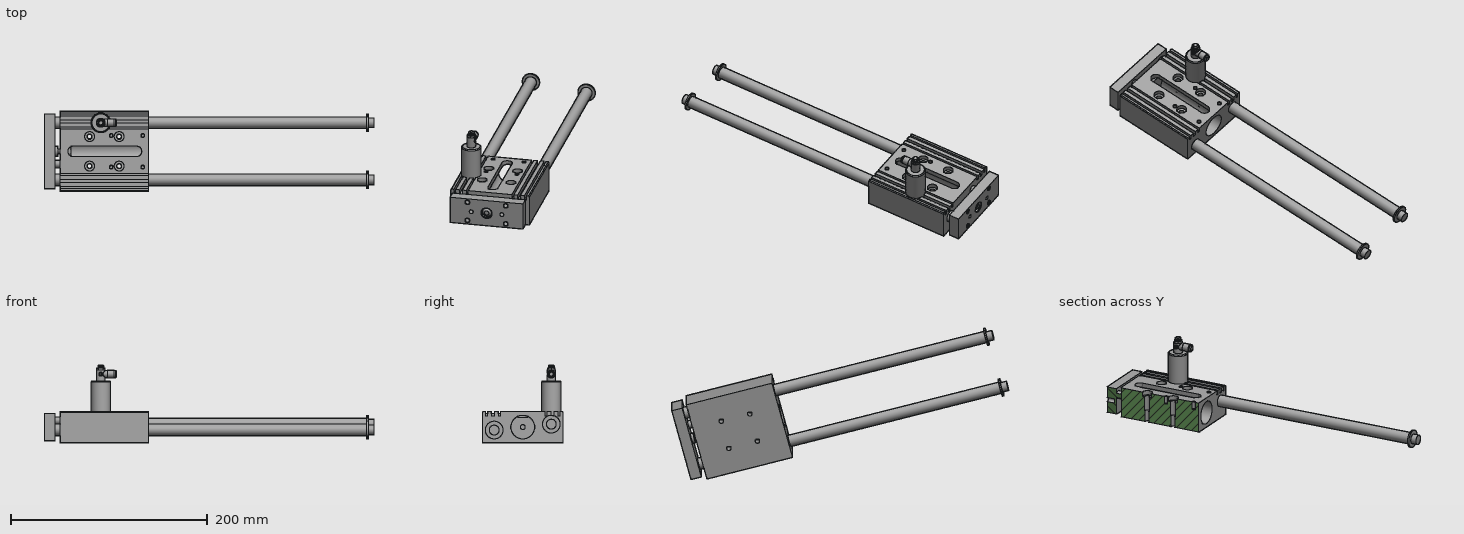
import cadquery as cq

overall_length = 335.0
overall_height = 79.26

plate_thickness = 11.0
plate_width = 76.0
plate_height = 28.0

gap = 5.0
housing_length = 90.0
housing_width = 82.0
housing_height = 32.0
edge_chamfer = 1.0
housing_start = plate_thickness + gap
housing_end = housing_start + housing_length
axis_z = housing_height / 2

groove_depth = 4.5
grooves = ((23.75, 2.0), (30.25, 3.0), (36.75, 2.0))

bore_diameter = 24.0
slot_width = 10.5
slot_depth = 6.0
slot_length = 75.0
slot_start = housing_start + 8.0
bore_start = housing_start + 11.0

tap_mouth_depth = 0.5

mount_pitch = 30.0
mount_first_x = housing_start + 30.0
mount_diameter = 5.2
mount_core_diameter = 4.5
mount_core_length = 12.0
mount_head_diameter = 10.0
mount_head_depth = 4.5
tap_pitch = 32.0
tap_mouth_diameter = 4.0
tap_core_diameter = 3.24
tap_depth = 8.0
tap_first_x = housing_start + 52.0

rod_diameter = 12.0
rod_y = 29.0
rod_rise = 3.0
rod_axes = ((-rod_y, axis_z - rod_rise), (rod_y, axis_z + rod_rise))
rod_tip_diameter = 10.0
rod_tip_length = 6.0
rod_flange_diameter = 18.0
rod_flange_thickness = 1.6

piston_rod_diameter = 5.0
piston_rod_end = bore_start
collar_diameter = 10.5
collar_end = plate_thickness + 2.7
bumper_diameter = 8.0
bumper_y = -13.0
bumper_z = 22.5

plate_screw_mouth_diameter = 5.0
plate_screw_core_diameter = 4.13
plate_screw_y = 20.0
plate_screw_rise = 10.0
plate_pin_y = 16.0
plate_pin_diameter = 4.02
plate_hole_depth = 8.0
nose_recess_diameter = 10.5
nose_recess_chamfer = 0.6
nose_recess_depth = 3.5
nose_base_diameter = 9.8
nose_tip_diameter = 4.5
nose_height = 3.0

barrel_x = housing_start + 41.4
barrel_y = rod_y
barrel_diameter = 20.0
barrel_top = 63.0
barrel_chamfer = 1.0
elbow_diameter = 9.0
elbow_top = 73.8
hex_corner_diameter = 8.8
hex_top = 75.8
knob_neck_diameter = 5.2
knob_diameter = 6.2
knob_start = 77.2
knob_chamfer = 1.0
outlet_z = 69.8
outlet_diameter = 8.0
outlet_reach = 16.0
outlet_neck_diameter = 7.7
outlet_neck_end = 6.9
outlet_tip_diameter = 7.7
outlet_tip_start = 13.6
outlet_tip_chamfer = 1.1
outlet_bore_diameter = 4.0
outlet_bore_depth = 6.0
screw_hole_diameter = 4.02
screw_hole_reach = 3.5
screw_core_diameter = 2.13
screw_core_reach = 2.0


def rod_along_x(diameter, start, end, y, z):
    """Round bar parallel to X between two X positions."""
    return cq.Workplane("YZ", origin=(start, y, z)).circle(diameter / 2).extrude(end - start)


def rod_along_z(diameter, start, end, x, y):
    """Round bar parallel to Z between two Z positions."""
    return cq.Workplane("XY", origin=(x, y, start)).circle(diameter / 2).extrude(end - start)


def make_block():
    """Extruded housing block with chamfered upper edges and top grooves."""
    block = (
        cq.Workplane("XY", origin=(housing_start, 0, 0))
        .box(housing_length, housing_width, housing_height, centered=(False, True, False))
        .edges("|X and >Z")
        .chamfer(edge_chamfer)
    )
    for distance, width in grooves:
        for side in (-1, 1):
            floor_center = (housing_start, side * distance, housing_height - groove_depth)
            groove = cq.Workplane("XY", origin=floor_center).box(
                housing_length, width, groove_depth, centered=(False, True, False)
            )
            block = block.cut(groove)
    return block


def cut_piston_bore(block):
    """Piston bore open at the back, the rod hole at the front and the slot in the top."""
    bore = rod_along_x(bore_diameter, bore_start, housing_end, 0, axis_z)
    rod_hole = rod_along_x(piston_rod_diameter, housing_start, bore_start, 0, axis_z)
    slot = (
        cq.Workplane("XY", origin=(slot_start + slot_length / 2, 0, housing_height))
        .slot2D(slot_length, slot_width)
        .extrude(-slot_depth)
    )
    return block.cut(bore).cut(rod_hole).cut(slot)


def cut_top_holes(block):
    """Counterbored mounting holes and blind tapped holes with a wider mouth."""
    top = cq.Workplane("XY", origin=(0, 0, housing_height))
    mount_points = [
        (mount_first_x + i * mount_pitch, side * mount_pitch / 2) for i in (0, 1) for side in (-1, 1)
    ]
    tap_points = [(tap_first_x + i * tap_pitch, side * tap_pitch / 2) for i in (0, 1) for side in (-1, 1)]
    hole_steps = (
        (mount_points, mount_head_diameter, mount_head_depth),
        (mount_points, mount_diameter, housing_height - mount_core_length),
        (mount_points, mount_core_diameter, housing_height),
        (tap_points, tap_mouth_diameter, tap_mouth_depth),
        (tap_points, tap_core_diameter, tap_depth),
    )
    for points, diameter, depth in hole_steps:
        block = block.cut(top.pushPoints(points).circle(diameter / 2).extrude(-depth))
    return block


def make_barrel():
    """Upright damper barrel, sunk into the grooves it covers."""
    barrel = rod_along_z(barrel_diameter, housing_height - groove_depth, barrel_top, barrel_x, barrel_y)
    return barrel.faces(">Z").chamfer(barrel_chamfer)


def make_fitting():
    """Elbow fitting on the barrel: body, hexagon, top knob, side screw hole and sideways outlet."""
    profile = [
        (0, barrel_top),
        (elbow_diameter / 2, barrel_top),
        (elbow_diameter / 2, elbow_top),
        (knob_neck_diameter / 2, elbow_top),
        (knob_neck_diameter / 2, knob_start),
        (knob_diameter / 2, knob_start),
        (knob_diameter / 2, overall_height - knob_chamfer),
        (knob_diameter / 2 - knob_chamfer, overall_height),
        (0, overall_height),
    ]
    body = (
        cq.Workplane("XZ").polyline(profile).close().revolve(360, (0, 0, 0), (0, 1, 0))
        .translate((barrel_x, barrel_y, 0))
    )
    hexagon = (
        cq.Workplane("XY", origin=(barrel_x, barrel_y, elbow_top))
        .polygon(6, hex_corner_diameter)
        .extrude(hex_top - elbow_top)
    )
    body = body.union(hexagon).union(make_outlet())
    hole_start = cq.Workplane("XZ", origin=(barrel_x, barrel_y, outlet_z))
    screw_hole_steps = ((screw_hole_diameter, screw_hole_reach), (screw_core_diameter, screw_core_reach))
    for diameter, reach in screw_hole_steps:
        body = body.cut(
            hole_start.workplane(offset=reach).circle(diameter / 2).extrude(elbow_diameter / 2 - reach)
        )
    return body


def make_outlet():
    """Sideways tube outlet: neck, sleeve and chamfered tip with the tube bore."""
    neck_end = barrel_x + outlet_neck_end
    tip_start = barrel_x + outlet_tip_start
    tip_end = barrel_x + outlet_reach
    neck = rod_along_x(outlet_neck_diameter, barrel_x, neck_end, barrel_y, outlet_z)
    sleeve = rod_along_x(outlet_diameter, neck_end, tip_start, barrel_y, outlet_z)
    tip = rod_along_x(outlet_tip_diameter, tip_start, tip_end, barrel_y, outlet_z)
    tip = tip.faces(">X").chamfer(outlet_tip_chamfer)
    bore = rod_along_x(outlet_bore_diameter, tip_end - outlet_bore_depth, tip_end, barrel_y, outlet_z)
    return neck.union(sleeve).union(tip).cut(bore)


def make_housing():
    housing = cut_top_holes(cut_piston_bore(make_block()))
    housing = housing.union(make_barrel()).union(make_fitting())
    for y, z in rod_axes:
        housing = housing.cut(rod_along_x(rod_diameter, housing_start, housing_end, y, z))
    return housing


def make_plate():
    """Front plate with screw holes, pin holes and the recess around the piston rod nose."""
    plate = cq.Workplane("XY", origin=(0, 0, axis_z)).box(
        plate_thickness, plate_width, plate_height, centered=(False, True, True)
    )
    for side in (-1, 1):
        for level in (-1, 1):
            y = side * plate_screw_y
            z = axis_z + level * plate_screw_rise
            plate = plate.cut(rod_along_x(plate_screw_mouth_diameter, 0, tap_mouth_depth, y, z))
            plate = plate.cut(rod_along_x(plate_screw_core_diameter, 0, plate_hole_depth, y, z))
        plate = plate.cut(rod_along_x(plate_pin_diameter, 0, plate_hole_depth, side * plate_pin_y, axis_z))
    recess = rod_along_x(nose_recess_diameter, 0, nose_recess_depth, 0, axis_z)
    mouth = (
        cq.Workplane("YZ", origin=(0, 0, axis_z)).circle(nose_recess_diameter / 2 + nose_recess_chamfer)
        .workplane(offset=nose_recess_chamfer).circle(nose_recess_diameter / 2).loft(combine=True)
    )
    return plate.cut(recess).cut(mouth)


def make_nose():
    """Conical nose of the piston rod at the bottom of the plate recess."""
    base = cq.Workplane("YZ", origin=(nose_recess_depth, 0, axis_z)).circle(nose_base_diameter / 2)
    return base.workplane(offset=-nose_height).circle(nose_tip_diameter / 2).loft(combine=True)


def make_guide_rod(y, z):
    """Guide rod with an end flange and a thinner tip."""
    flange_end = overall_length - rod_tip_length
    flange_start = flange_end - rod_flange_thickness
    shaft = rod_along_x(rod_diameter, plate_thickness, flange_start, y, z)
    flange = rod_along_x(rod_flange_diameter, flange_start, flange_end, y, z)
    tip = rod_along_x(rod_tip_diameter, flange_end, overall_length, y, z)
    return shaft.union(flange).union(tip)


def make_piston_rod():
    """Piston rod with the collar that bears on the plate."""
    collar = rod_along_x(collar_diameter, plate_thickness, collar_end, 0, axis_z)
    shaft = rod_along_x(piston_rod_diameter, collar_end, piston_rod_end, 0, axis_z)
    return collar.union(shaft)


def make_slide():
    slide = make_plate().union(make_nose()).union(make_piston_rod())
    slide = slide.union(rod_along_x(bumper_diameter, plate_thickness, housing_start, bumper_y, bumper_z))
    for y, z in rod_axes:
        slide = slide.union(make_guide_rod(y, z))
    return slide


housing = make_housing()
slide = make_slide()
result = cq.Compound.makeCompound([housing.val(), slide.val()])